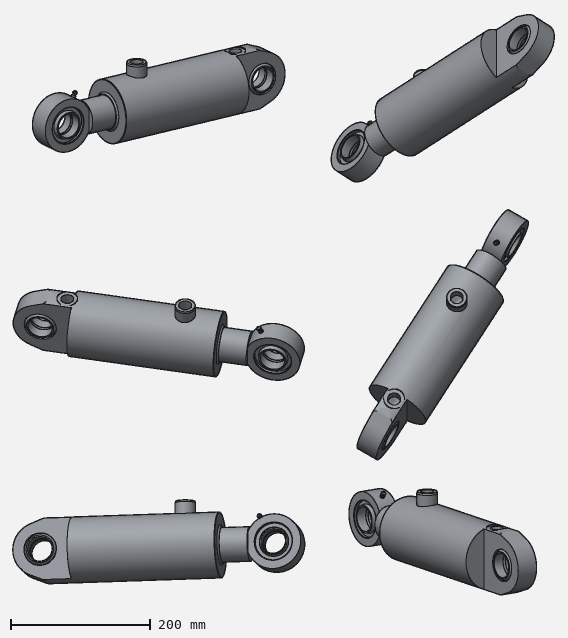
import cadquery as cq
import math

pin_spacing = 340.0
eye_diameter = 80.0
eye_width = 32.5
eye_radius = eye_diameter / 2

barrel_diameter = 95.0
barrel_radius = barrel_diameter / 2
barrel_start_y = -45.5
barrel_end_y = -260.5
barrel_end_chamfer = 1.0
collar_diameter = 58.0
collar_length = 2.5
collar_taper_angle = 45.0

lug_slope_angle = 21.6
lug_slope_end_y = -7.5
lug_taper_end_y = -17.5

port_hole_diameter = 18.5
port_hole_depth = 17.0
port_drill_tip_angle = 118.0
port_boss_diameter = 30.0
port_boss_chamfer_height = 2.5
port_boss_chamfer_width = 1.0
port_boss_top_z = 65.0
front_port_y = -208.7
rear_port_y = -36.0
rear_port_face_depth = 1.9
rear_port_face_z = barrel_radius - rear_port_face_depth

rod_diameter = 50.0
rod_end_y = -303.2

bearing_bore_diameter = 35.0
bearing_face_diameter = 40.0
bearing_width = 35.0
bearing_lead_in_diameter = 35.5
bearing_lead_in_length = 5.0
bearing_groove_diameter = 35.5
bearing_groove_width = 4.0

rear_ball_radius = math.hypot(bearing_face_diameter, bearing_width) / 2
rear_seat_opening_diameter = 47.0

rod_bearing_diameter = 54.0
rod_bearing_sink = 5.0
rod_bearing_shoulder_diameter = 43.0
rod_eye_bore_chamfer = 1.0

nipple_angle = 30.0
nipple_thread_diameter = 4.0
nipple_thread_depth = 4.0
nipple_collar_diameter = 6.7
nipple_collar_length = 3.0
nipple_neck_diameter = 4.0
nipple_neck_length = 2.5
nipple_head_diameter = 6.7
nipple_head_length = 2.0
nipple_tip_diameter = 3.0
nipple_tip_length = 2.0


def x_cylinder(diameter, width, y):
    """A cylinder along X, centred on X = 0 at the given Y."""
    return cq.Workplane("YZ").center(y, 0).circle(diameter / 2).extrude(width / 2, both=True)


def y_cylinder(diameter, start_y, end_y):
    """A cylinder on the barrel axis, running towards -Y."""
    return cq.Workplane("XZ", origin=(0, start_y, 0)).circle(diameter / 2).extrude(start_y - end_y)


def spin_about_x(outline, y):
    """Revolves an outline of X and radius about the X axis and moves it to the given Y."""
    return outline.close().revolve(360, (0, 0), (1, 0)).translate((0, y, 0))


def rear_bearing_seat():
    """A spherical socket with a cylindrical opening on both sides, as a cutting tool."""
    half_width = eye_width / 2
    opening_radius = rear_seat_opening_diameter / 2
    half_socket = math.sqrt(rear_ball_radius**2 - opening_radius**2)
    outline = (
        cq.Workplane("XY")
        .moveTo(-half_width, 0)
        .lineTo(-half_width, opening_radius)
        .lineTo(-half_socket, opening_radius)
        .threePointArc((0, rear_ball_radius), (half_socket, opening_radius))
        .lineTo(half_width, opening_radius)
        .lineTo(half_width, 0)
    )
    return spin_about_x(outline, 0)


def bearing_bore(y):
    """The pin bore of a bearing as a cutting tool, with a tapered lead-in at each end and a groove."""
    half_width = bearing_width / 2
    half_straight = half_width - bearing_lead_in_length
    bore_radius = bearing_bore_diameter / 2
    lead_in_radius = bearing_lead_in_diameter / 2
    outline = (
        cq.Workplane("XY")
        .moveTo(-half_width, 0)
        .lineTo(-half_width, lead_in_radius)
        .lineTo(-half_straight, bore_radius)
        .lineTo(half_straight, bore_radius)
        .lineTo(half_width, lead_in_radius)
        .lineTo(half_width, 0)
    )
    return spin_about_x(outline, y).union(x_cylinder(bearing_groove_diameter, bearing_groove_width, y))


def make_rear_bearing():
    """A ball with flat sides and a pin bore."""
    half_width = bearing_width / 2
    face_radius = bearing_face_diameter / 2
    outline = (
        cq.Workplane("XY")
        .moveTo(-half_width, 0)
        .lineTo(-half_width, face_radius)
        .threePointArc((0, rear_ball_radius), (half_width, face_radius))
        .lineTo(half_width, 0)
    )
    return spin_about_x(outline, 0).cut(bearing_bore(0))


def make_rod_bearing():
    """A sleeve with a tapered shoulder on both sides and a pin bore."""
    half_width = bearing_width / 2
    half_sleeve = eye_width / 2 - rod_bearing_sink
    face_radius = bearing_face_diameter / 2
    shoulder_radius = rod_bearing_shoulder_diameter / 2
    sleeve_radius = rod_bearing_diameter / 2
    outline = (
        cq.Workplane("XY")
        .moveTo(-half_width, 0)
        .lineTo(-half_width, face_radius)
        .lineTo(-half_sleeve, shoulder_radius)
        .lineTo(-half_sleeve, sleeve_radius)
        .lineTo(half_sleeve, sleeve_radius)
        .lineTo(half_sleeve, shoulder_radius)
        .lineTo(half_width, face_radius)
        .lineTo(half_width, 0)
    )
    return spin_about_x(outline, -pin_spacing).cut(bearing_bore(-pin_spacing))


def port_hole(y, top_z):
    """A blind drilled hole with a conical tip, entered from above."""
    radius = port_hole_diameter / 2
    tip_length = radius / math.tan(math.radians(port_drill_tip_angle / 2))
    bottom_z = top_z - port_hole_depth
    outline = [(0, top_z), (radius, top_z), (radius, bottom_z), (0, bottom_z - tip_length)]
    return cq.Workplane("XZ").polyline(outline).close().revolve().translate((0, y, 0))


def make_rear_lug():
    """A flat lug with a round end, sloped flanks and the barrel's round top and bottom."""
    slope = math.radians(lug_slope_angle)
    tangent_y = eye_radius * math.sin(slope)
    tangent_z = eye_radius * math.cos(slope)
    slope_end_z = tangent_z + (tangent_y - lug_slope_end_y) * math.tan(slope)
    lug = (
        cq.Workplane("YZ")
        .moveTo(barrel_start_y, barrel_radius)
        .lineTo(lug_taper_end_y, barrel_radius)
        .lineTo(lug_slope_end_y, slope_end_z)
        .lineTo(tangent_y, tangent_z)
        .threePointArc((eye_radius, 0), (tangent_y, -tangent_z))
        .lineTo(lug_slope_end_y, -slope_end_z)
        .lineTo(lug_taper_end_y, -barrel_radius)
        .lineTo(barrel_start_y, -barrel_radius)
        .close()
        .extrude(eye_width / 2, both=True)
    )
    return lug.intersect(y_cylinder(barrel_diameter, eye_radius, barrel_start_y))


def make_barrel():
    tube = y_cylinder(barrel_diameter, barrel_start_y, barrel_end_y)
    tube = tube.faces("<Y").chamfer(barrel_end_chamfer)
    collar = (
        cq.Workplane("XZ", origin=(0, barrel_end_y, 0))
        .circle(collar_diameter / 2)
        .extrude(collar_length, taper=collar_taper_angle)
    )
    boss = (
        cq.Workplane("XY", origin=(0, front_port_y, 0))
        .circle(port_boss_diameter / 2)
        .extrude(port_boss_top_z)
        .faces(">Z")
        .chamfer(port_boss_chamfer_height, port_boss_chamfer_width)
    )
    spot_face = (
        cq.Workplane("XY", origin=(0, rear_port_y, rear_port_face_z))
        .circle(port_boss_diameter / 2)
        .extrude(barrel_radius - rear_port_face_z)
    )
    barrel = tube.union(make_rear_lug()).union(collar).union(boss)
    barrel = barrel.cut(spot_face)
    barrel = barrel.cut(port_hole(rear_port_y, rear_port_face_z))
    barrel = barrel.cut(port_hole(front_port_y, port_boss_top_z))
    barrel = barrel.cut(rear_bearing_seat())
    return barrel.cut(y_cylinder(rod_diameter, barrel_end_y, barrel_end_y - collar_length))


def place_on_rod_eye(shape):
    """Moves a shape built upwards from Z = 0 onto the rim of the rod eye, tilted towards the barrel."""
    raised = shape.translate((0, 0, eye_radius))
    return raised.rotate((0, 0, 0), (1, 0, 0), -nipple_angle).translate((0, -pin_spacing, 0))


def nipple_thread():
    """The part of the grease nipple that is sunk into the rod eye."""
    thread = cq.Workplane("XY").circle(nipple_thread_diameter / 2).extrude(-nipple_thread_depth)
    return place_on_rod_eye(thread)


def make_rod():
    eye = x_cylinder(eye_diameter, eye_width, -pin_spacing)
    rod = y_cylinder(rod_diameter, barrel_end_y, rod_end_y).union(eye)
    rod = rod.cut(x_cylinder(rod_bearing_diameter, eye_width, -pin_spacing))
    bore_rims = cq.selectors.RadiusNthSelector(0)
    rod = rod.faces("<X or >X").edges(bore_rims).chamfer(rod_eye_bore_chamfer)
    return rod.cut(nipple_thread())


def make_nipple():
    """A grease nipple turned around its own axis."""
    neck_start = nipple_collar_length
    head_start = neck_start + nipple_neck_length
    tip_start = head_start + nipple_head_length
    tip_end = tip_start + nipple_tip_length
    outline = [
        (0, -nipple_thread_depth),
        (nipple_thread_diameter / 2, -nipple_thread_depth),
        (nipple_thread_diameter / 2, 0),
        (nipple_collar_diameter / 2, 0),
        (nipple_collar_diameter / 2, neck_start),
        (nipple_neck_diameter / 2, neck_start),
        (nipple_neck_diameter / 2, head_start),
        (nipple_head_diameter / 2, head_start),
        (nipple_head_diameter / 2, tip_start),
        (nipple_tip_diameter / 2, tip_end),
        (0, tip_end),
    ]
    return place_on_rod_eye(cq.Workplane("XZ").polyline(outline).close().revolve())


barrel = make_barrel()
rod = make_rod()
rear_bearing = make_rear_bearing()
rod_bearing = make_rod_bearing()
nipple = make_nipple()

result = cq.Compound.makeCompound(
    [barrel.val(), rod.val(), rear_bearing.val(), rod_bearing.val(), nipple.val()]
)